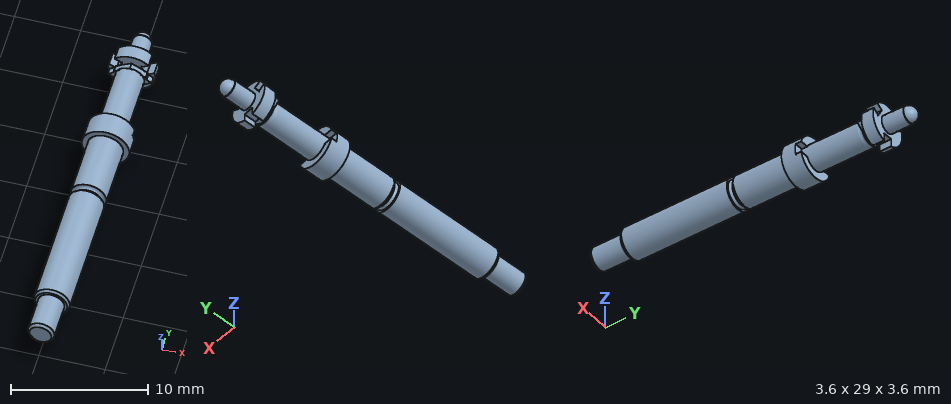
import cadquery as cq
import math

overall_length = 29.0

dome_radius = 0.7
tip_radius = 0.75

head_station = 2.65
head_length = 1.07
head_radius = 1.78
head_slot_width = 0.85
head_slot_floor = 1.065
head_slot_angles = (30, 150, 270)

wing_length = 0.5
wing_tip = (1.65, -0.03)
wing_top_root = (1.27, 0.19)
wing_shoulder = (1.19, 0.41)
ridge_height = 1.1

neck_radius = 1.1
relief_radius = 1.075
relief_length = 0.35

collar_station = 9.2
collar_length = 1.76
collar_radius = 1.8
collar_slot_width = 0.95
collar_slot_depth = 0.5

body_radius = 1.35
groove_station = 15.68
groove_root_radius = 1.08
groove_arc_radius = body_radius - groove_root_radius
groove_rim_radius = 1.18
groove_length = 0.57
body_end_station = 26.01
body_chamfer_radial = 0.15
body_chamfer_axial = 0.21

tail_radius = 1.0
tail_chamfer_radial = 0.17
tail_chamfer_axial = 0.22

head_end = head_station + head_length
wing_end = head_end + wing_length
collar_end = collar_station + collar_length
groove_root_station = groove_station + groove_arc_radius
groove_end = groove_station + groove_length


def make_pin():
    """Revolve the stepped shaft, with dome, neck relief, stop collar, groove and chamfers."""
    arc_offset = groove_arc_radius * math.sqrt(0.5)
    groove_arc_middle = (body_radius - arc_offset, -(groove_root_station - arc_offset))
    relief_middle = (relief_radius, -wing_end - relief_length / 2)
    dome_middle = (dome_radius * math.sqrt(0.5), -dome_radius * (1 - math.sqrt(0.5)))
    return (
        cq.Workplane("XY")
        .moveTo(0, 0)
        .threePointArc(dome_middle, (dome_radius, -dome_radius))
        .lineTo(tip_radius, -dome_radius)
        .lineTo(tip_radius, -wing_end)
        .lineTo(neck_radius, -wing_end)
        .threePointArc(relief_middle, (neck_radius, -wing_end - relief_length))
        .lineTo(neck_radius, -collar_station)
        .lineTo(collar_radius, -collar_station)
        .lineTo(collar_radius, -collar_end)
        .lineTo(body_radius, -collar_end)
        .lineTo(body_radius, -groove_station)
        .threePointArc(groove_arc_middle, (groove_root_radius, -groove_root_station))
        .lineTo(groove_rim_radius, -groove_end)
        .lineTo(body_radius, -groove_end)
        .lineTo(body_radius, -body_end_station + body_chamfer_axial)
        .lineTo(body_radius - body_chamfer_radial, -body_end_station)
        .lineTo(tail_radius, -body_end_station)
        .lineTo(tail_radius, -overall_length + tail_chamfer_axial)
        .lineTo(tail_radius - tail_chamfer_radial, -overall_length)
        .lineTo(0, -overall_length)
        .close()
        .revolve(360, (0, 0, 0), (0, 1, 0))
    )


def section_plane(station):
    """Workplane across the pin; local x is X, local y is Z, extrusion runs toward the tail."""
    return cq.Workplane("XZ", origin=(0, -station, 0))


def make_head():
    """Disc split into three lobes by flat-bottomed radial slots."""
    head = section_plane(head_station).circle(head_radius).extrude(head_length)
    slot = (
        section_plane(head_station)
        .center(head_slot_floor + head_radius / 2, 0)
        .rect(head_radius, head_slot_width)
        .extrude(head_length)
    )
    for angle in head_slot_angles:
        head = head.cut(slot.rotate((0, 0, 0), (0, -1, 0), angle))
    return head


def make_wings():
    """Six-sided ridge section drawn out into a wing on each side."""
    right_side = [(0, ridge_height), wing_shoulder, wing_top_root, wing_tip, (0, -ridge_height)]
    left_side = [(-x, z) for x, z in reversed(right_side[1:-1])]
    return section_plane(head_end).polyline(right_side + left_side).close().extrude(wing_length)


def make_collar_slots():
    """Slots through both sides of the stop collar, leaving the neck whole."""
    bar_length = 3 * collar_radius
    bar = (
        section_plane(collar_station)
        .rect(bar_length, collar_slot_width)
        .extrude(collar_slot_depth)
    )
    neck = section_plane(collar_station).circle(neck_radius).extrude(collar_slot_depth)
    return bar.cut(neck)


result = make_pin().cut(make_collar_slots()).union(make_head()).union(make_wings())